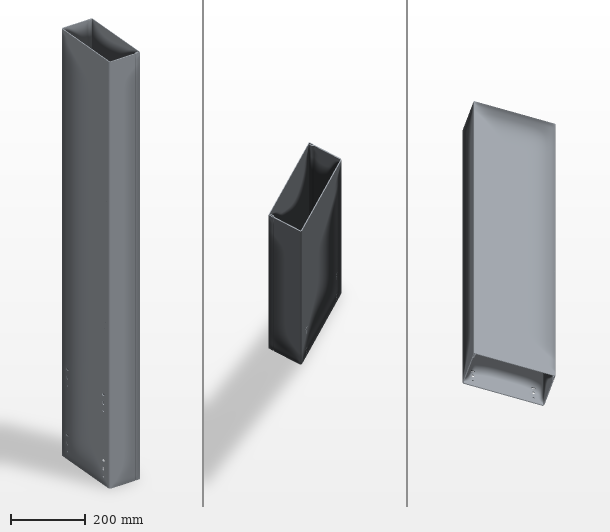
import cadquery as cq
length = 1300.0
width = 230.0
depth = 100.0

cover_sheet = 1.8
cover_radius = 2.5
trunk_sheet = 2.9
trunk_radius = 5.0

joggle_start_depth = 17.0
joggle_run = 4.5
joggle_step = 3.2
flange_gap = 2.9
flange_depth = joggle_start_depth - flange_gap
lip_end_gap = 3.0

hole_edge_distance = 30.0
hole_pitch = 25.0
first_hole_z = 25.0
group_pitch = 200.0
round_hole_diameter = 6.0
upright_slot_length = 13.0
upright_slot_width = 6.2
level_slot_length = 11.5
level_slot_width = 7.0

half_width = width / 2
half_depth = depth / 2


def bar(bar_width, y_start, y_end):
    """Full-length rectangular bar, centred in X, between two Y positions."""
    return (
        cq.Workplane("XY")
        .center(0, (y_start + y_end) / 2)
        .rect(bar_width, y_end - y_start)
        .extrude(length)
    )


def make_cover():
    """Shallow channel that closes the +Y side, with its flanges pointing to -Y."""
    flange_end = half_depth - flange_depth
    outside = bar(width, flange_end, half_depth).edges("|Z and >Y").fillet(cover_radius)
    inside = bar(width - 2 * cover_sheet, flange_end, half_depth - cover_sheet)
    inside = inside.edges("|Z and >Y").fillet(cover_radius - cover_sheet)
    return outside.cut(inside)


def trunk_prism(inset):
    """Solid prism of the trunk profile, its face and walls moved inwards by the inset."""
    face_y = -half_depth + inset
    joggle_start_y = half_depth - joggle_start_depth
    joggle_end_y = joggle_start_y + joggle_run
    lip_end_y = half_depth - cover_sheet - lip_end_gap
    wall_x = half_width - inset
    lip_x = wall_x - joggle_step
    right_side = [
        (wall_x, face_y),
        (wall_x, joggle_start_y),
        (lip_x, joggle_end_y),
        (lip_x, lip_end_y),
    ]
    left_side = [(-x, y) for x, y in reversed(right_side)]
    prism = cq.Workplane("XY").polyline(right_side + left_side).close().extrude(length)
    return prism.edges("|Z and <Y").fillet(trunk_radius - inset)


def hole_group(x, z):
    """Cutters of one group: a round hole, an upright slot and a level slot going up."""
    face = cq.Workplane("XZ", origin=(x, -half_depth, z))
    round_hole = face.circle(round_hole_diameter / 2).extrude(-trunk_sheet)
    upright_slot = (
        face.center(0, hole_pitch)
        .slot2D(upright_slot_length, upright_slot_width, 90)
        .extrude(-trunk_sheet)
    )
    level_slot = (
        face.center(0, 2 * hole_pitch)
        .slot2D(level_slot_length, level_slot_width)
        .extrude(-trunk_sheet)
    )
    return [round_hole, upright_slot, level_slot]


def make_trunk():
    """Deep channel, open to +Y, with the mounting holes in its -Y face."""
    trunk = trunk_prism(0).cut(trunk_prism(trunk_sheet))
    hole_x = half_width - hole_edge_distance
    for x in (-hole_x, hole_x):
        for z in (first_hole_z, first_hole_z + group_pitch):
            for cutter in hole_group(x, z):
                trunk = trunk.cut(cutter)
    return trunk


trunk = make_trunk()
cover = make_cover()

result = cq.Compound.makeCompound([trunk.val(), cover.val()])